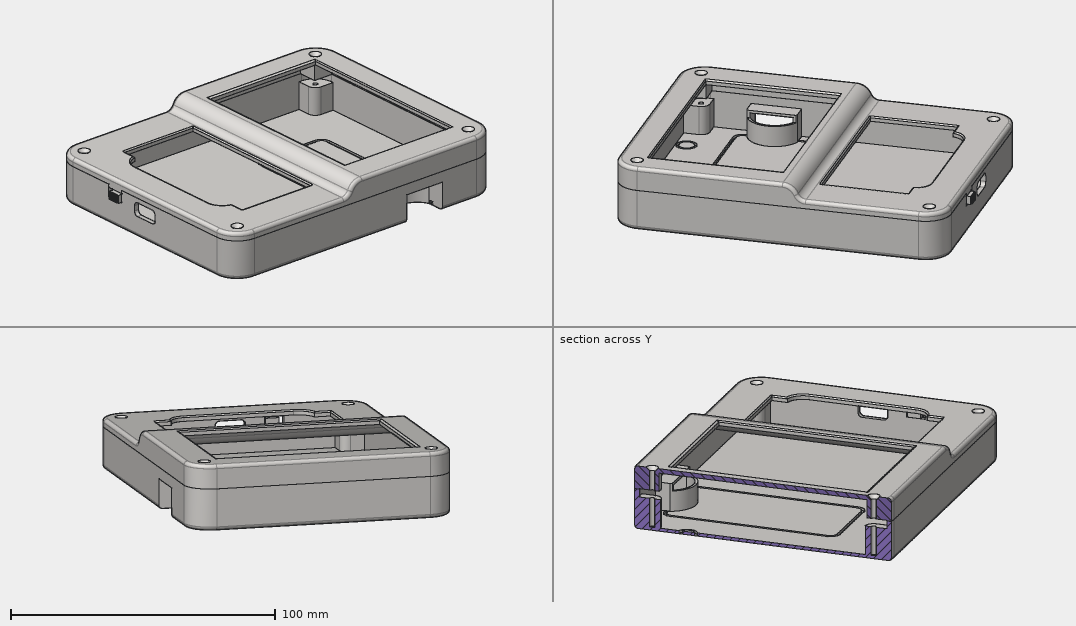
import cadquery as cq
import math

TOTAL_Y = 132.4
LENGTH_X = 104.0
LENGTH_Y = 130.6
HEIGHT = 25.4
LOW_HEIGHT = 19.5
SEAM_Z = 16.1
CORNER_RADIUS = 10.0
EDGE_RADIUS = 1.5
WALL = 2.0
FLOOR = 1.5
ROOF = 2.0

HALF_X = LENGTH_X / 2
HALF_Y = LENGTH_Y / 2
INNER_X = HALF_X - WALL
INNER_Y = HALF_Y - WALL
INNER_RADIUS = CORNER_RADIUS - WALL

STEP_START_Y = -1.7
CREST_RADIUS = 6.5
TROUGH_RADIUS = 3.5
STEP_DROP = HEIGHT - LOW_HEIGHT
STEP_ANGLE = math.acos(1 - STEP_DROP / (CREST_RADIUS + TROUGH_RADIUS))

SCREW_X = 44.6
SCREW_Y = 57.5
SCREW_DIAMETER = 1.9
SCREW_HEAD_DIAMETER = 4.8
SCREW_HEAD_ANGLE = 90
POST_REACH = 3.5
POST_RADIUS = 3.3
POST_TOP_Z = 13.0
BOSS_REACH = 2.8

SCREEN_LEFT = -41.2
SCREEN_RIGHT = 39.3
SCREEN_FRONT = 0.8
SCREEN_BACK = 54.3
SCREEN_SIDE_BEVEL = 0.9
SCREEN_END_BEVEL = 0.4
SCREEN_BEVEL_DEPTH = 0.5

KEYS_WIDTH = 69.9
KEYS_BACK = -11.5
KEYS_FRONT = -46.7
KEYS_TAB_WIDTH = 57.5
KEYS_TAB_FRONT = -52.4
KEYS_TAB_RADIUS = 7.1
KEYS_BEVEL = 0.5

GROOVE_DEPTH = 1.0
BATTERY_CENTER_X = 10.6
BATTERY_CENTER_Y = 27.3
BATTERY_LENGTH = 71.0
BATTERY_WIDTH = 34.1
BATTERY_RADIUS = 4.0
GROOVE_WIDTH = 1.2
RING_X = 30.0
RING_Y = 59.0
RING_OUTER_RADIUS = 4.0
RING_INNER_RADIUS = 3.0

LOOP_CENTER_X = 47.8
LOOP_CENTER_Y = 29.4
LOOP_RADIUS = 10.6
LOOP_HALF_WIDTH = 9.9
LOOP_WALL = 1.0
LOOP_TOP_Z = 9.7
BAR_FRONT_X = 43.3
BAR_TOP_Z = 12.7
BAR_THICKNESS = 1.0

PORT_X = 0.0
PORT_Z = 11.4
PORT_WIDTH = 11.9
PORT_HEIGHT = 5.7
PORT_RADIUS = 1.7
NOTCH_LEFT = -21.0
NOTCH_RIGHT = -13.5
NOTCH_BOTTOM_Z = 11.0
TAB_BOTTOM_Z = 14.8

KNOB_LEFT = -19.2
KNOB_RIGHT = -13.9
KNOB_TOP_Z = 14.3
KNOB_PROJECTION = TOTAL_Y - LENGTH_Y
RIBS = 4
RIB_PITCH = 0.8
RIB_THICKNESS = 0.5
RIB_DEPTH = 0.5
RIB_INSET = 0.3


def box(x0, x1, y0, y1, z0, z1):
    """Box between two opposite corners."""
    return cq.Workplane("XY").box(x1 - x0, y1 - y0, z1 - z0, centered=False).translate((x0, y0, z0))


def rounded_block(size_x, size_y, radius, z0, z1):
    """Upright block with rounded vertical edges, centered on the Z axis."""
    block = cq.Workplane("XY", origin=(0, 0, z0)).rect(size_x, size_y).extrude(z1 - z0)
    return block.edges("|Z").fillet(radius)


def inner_block(z0, z1):
    """Block that fills the space between the walls."""
    return rounded_block(2 * INNER_X, 2 * INNER_Y, INNER_RADIUS, z0, z1)


def stepped_slab(inset):
    """Full-width slab under the stepped top surface, with that surface lowered by inset."""
    crest = CREST_RADIUS - inset
    trough = TROUGH_RADIUS + inset
    top = HEIGHT - inset
    low = LOW_HEIGHT - inset
    crest_center_z = top - crest
    trough_y = STEP_START_Y - (crest + trough) * math.sin(STEP_ANGLE)
    trough_center_z = low + trough

    def crest_point(angle):
        return (STEP_START_Y - crest * math.sin(angle), crest_center_z + crest * math.cos(angle))

    def trough_point(angle):
        return (trough_y + trough * math.sin(angle), trough_center_z - trough * math.cos(angle))

    return (
        cq.Workplane("YZ", origin=(-HALF_X, 0, 0))
        .moveTo(HALF_Y, SEAM_Z)
        .lineTo(HALF_Y, top)
        .lineTo(*crest_point(0))
        .threePointArc(crest_point(STEP_ANGLE / 2), crest_point(STEP_ANGLE))
        .threePointArc(trough_point(STEP_ANGLE / 2), trough_point(0))
        .lineTo(-HALF_Y, low)
        .lineTo(-HALF_Y, SEAM_Z)
        .close()
        .extrude(LENGTH_X)
    )


def corner_posts(reach, radius, z0, z1):
    """Four posts that fill the inner corners; a radius above 0 rounds their free edge."""
    cavity = inner_block(z0, z1)
    size_x = INNER_X - SCREW_X + reach
    size_y = INNER_Y - SCREW_Y + reach
    posts = cq.Workplane("XY")
    for side_x in (-1, 1):
        for side_y in (-1, 1):
            center = (side_x * (INNER_X - size_x / 2), side_y * (INNER_Y - size_y / 2), z0)
            post = cq.Workplane("XY", origin=center).rect(size_x, size_y).extrude(z1 - z0)
            if radius > 0:
                inner_x = "<X" if side_x > 0 else ">X"
                inner_y = "<Y" if side_y > 0 else ">Y"
                post = post.edges(f"|Z and {inner_x} and {inner_y}").fillet(radius)
            posts = posts.add(post.intersect(cavity))
    return posts.combine()


def screw_row(side_y):
    """Screw positions of the rear row (side_y = 1) or the front row (side_y = -1)."""
    return [(-SCREW_X, side_y * SCREW_Y), (SCREW_X, side_y * SCREW_Y)]


def loop_prism(inset, front_x, end_x, z0, z1):
    """Prism from front_x to end_x with flat sides and a round nose toward -X, shrunk by inset."""
    radius = LOOP_RADIUS - inset
    half_width = LOOP_HALF_WIDTH - inset
    nose = cq.Workplane("XY", origin=(LOOP_CENTER_X, LOOP_CENTER_Y, z0)).circle(radius).extrude(z1 - z0)
    full = nose.union(box(LOOP_CENTER_X, end_x, LOOP_CENTER_Y - radius, LOOP_CENTER_Y + radius, z0, z1))
    return full.intersect(box(front_x, end_x, LOOP_CENTER_Y - half_width, LOOP_CENTER_Y + half_width, z0, z1))


def add_strap_loop(tray):
    """Strap loop: a well open below and through the side wall, bridged by a bar."""
    nose_x = LOOP_CENTER_X - LOOP_RADIUS
    well = loop_prism(LOOP_WALL, nose_x, HALF_X, 0, BAR_TOP_Z - BAR_THICKNESS)
    ring = loop_prism(0, nose_x, INNER_X, FLOOR, LOOP_TOP_Z)
    bar = loop_prism(0, BAR_FRONT_X, INNER_X, FLOOR, BAR_TOP_Z)
    return tray.union(ring).union(bar).cut(well)


def floor_grooves():
    """Shallow grooves in the floor: the battery outline and a ring."""
    z0 = FLOOR - GROOVE_DEPTH
    outer = rounded_block(BATTERY_LENGTH, BATTERY_WIDTH, BATTERY_RADIUS, z0, FLOOR)
    inner = rounded_block(
        BATTERY_LENGTH - 2 * GROOVE_WIDTH,
        BATTERY_WIDTH - 2 * GROOVE_WIDTH,
        BATTERY_RADIUS - GROOVE_WIDTH,
        z0,
        FLOOR,
    )
    outline = outer.cut(inner).translate((BATTERY_CENTER_X, BATTERY_CENTER_Y, 0))
    ring = (
        cq.Workplane("XY", origin=(RING_X, RING_Y, z0))
        .circle(RING_OUTER_RADIUS)
        .circle(RING_INNER_RADIUS)
        .extrude(GROOVE_DEPTH)
    )
    return outline.union(ring)


def make_tray():
    """Lower shell with its corner posts, strap loop and wall openings."""
    tray = rounded_block(LENGTH_X, LENGTH_Y, CORNER_RADIUS, 0, SEAM_Z).faces("<Z").edges().fillet(EDGE_RADIUS)
    tray = tray.cut(inner_block(FLOOR, SEAM_Z))
    tray = tray.cut(floor_grooves())
    tray = tray.union(corner_posts(POST_REACH, POST_RADIUS, FLOOR, POST_TOP_Z))
    pilot_holes = (
        cq.Workplane("XY", origin=(0, 0, FLOOR))
        .pushPoints(screw_row(1) + screw_row(-1))
        .circle(SCREW_DIAMETER / 2)
        .extrude(POST_TOP_Z - FLOOR)
    )
    tray = tray.cut(pilot_holes)
    tray = add_strap_loop(tray)
    port = (
        cq.Workplane("XY")
        .box(PORT_WIDTH, 2 * WALL, PORT_HEIGHT)
        .edges("|Y")
        .fillet(PORT_RADIUS)
        .translate((PORT_X, -HALF_Y, PORT_Z))
    )
    notch = box(NOTCH_LEFT, NOTCH_RIGHT, -HALF_Y, -INNER_Y, NOTCH_BOTTOM_Z, SEAM_Z)
    return tray.cut(port).cut(notch)


def screen_window():
    """Cutter for the screen window, with its bevel at the top."""
    width = SCREEN_RIGHT - SCREEN_LEFT
    depth = SCREEN_BACK - SCREEN_FRONT
    center = ((SCREEN_LEFT + SCREEN_RIGHT) / 2, (SCREEN_FRONT + SCREEN_BACK) / 2)
    inner_width = width - 2 * SCREEN_SIDE_BEVEL
    inner_depth = depth - 2 * SCREEN_END_BEVEL
    bevel = (
        cq.Workplane("XY", origin=(*center, HEIGHT - SCREEN_BEVEL_DEPTH))
        .rect(inner_width, inner_depth)
        .workplane(offset=SCREEN_BEVEL_DEPTH)
        .rect(width, depth)
        .loft(ruled=True)
    )
    opening_z = HEIGHT - 2 * ROOF
    opening = cq.Workplane("XY", origin=(*center, opening_z)).rect(inner_width, inner_depth).extrude(2 * ROOF)
    return opening.union(bevel)


def keys_outline(z):
    """Keyboard window below its bevel: a rectangle with a round-cornered tab in front."""
    back = KEYS_BACK - KEYS_BEVEL
    front = KEYS_FRONT + KEYS_BEVEL
    tab_front = KEYS_TAB_FRONT + KEYS_BEVEL
    half = KEYS_WIDTH / 2 - KEYS_BEVEL
    half_tab = KEYS_TAB_WIDTH / 2 - KEYS_BEVEL
    radius = KEYS_TAB_RADIUS - KEYS_BEVEL
    arc_x = half_tab - radius
    arc_y = tab_front + radius
    start_angle = math.asin((front - arc_y) / radius)
    middle_angle = (start_angle - math.pi / 2) / 2

    def arc_point(side, angle):
        return (side * (arc_x + radius * math.cos(angle)), arc_y + radius * math.sin(angle))

    return (
        cq.Workplane("XY", origin=(0, 0, z))
        .moveTo(-half, back)
        .lineTo(half, back)
        .lineTo(half, front)
        .lineTo(*arc_point(1, start_angle))
        .threePointArc(arc_point(1, middle_angle), (arc_x, tab_front))
        .lineTo(-arc_x, tab_front)
        .threePointArc(arc_point(-1, middle_angle), arc_point(-1, start_angle))
        .lineTo(-half, front)
        .close()
    )


def keys_window():
    """Cutter for the keyboard window, with its bevel at the top."""
    opening = keys_outline(LOW_HEIGHT - 2 * ROOF).extrude(2 * ROOF)
    bevel = keys_outline(LOW_HEIGHT - KEYS_BEVEL).extrude(KEYS_BEVEL, taper=-45)
    return opening.union(bevel)


def make_cover():
    """Stepped cover with two windows and countersunk screw holes."""
    outline = rounded_block(LENGTH_X, LENGTH_Y, CORNER_RADIUS, SEAM_Z, HEIGHT)
    cover = outline.intersect(stepped_slab(0))
    cover = cover.edges(">Z").edges(">Y").fillet(EDGE_RADIUS)
    cavity = inner_block(SEAM_Z, HEIGHT)
    cavity = cavity.intersect(stepped_slab(ROOF))
    cavity = cavity.cut(corner_posts(BOSS_REACH, 0, SEAM_Z, HEIGHT))
    cover = cover.cut(cavity)
    cover = cover.cut(screen_window())
    cover = cover.cut(keys_window())
    for side_y, top in ((1, HEIGHT), (-1, LOW_HEIGHT)):
        cover = (
            cover.copyWorkplane(cq.Workplane("XY", origin=(0, 0, top)))
            .pushPoints(screw_row(side_y))
            .cskHole(SCREW_DIAMETER, SCREW_HEAD_DIAMETER, SCREW_HEAD_ANGLE)
        )
    return cover.union(box(NOTCH_LEFT, NOTCH_RIGHT, -HALF_Y, -INNER_Y, TAB_BOTTOM_Z, SEAM_Z))


def make_knob():
    """Switch knob that slides in the notch, ribbed on its outer end."""
    tip_y = -HALF_Y - KNOB_PROJECTION
    rib_base_y = tip_y + RIB_DEPTH
    knob = box(KNOB_LEFT, KNOB_RIGHT, rib_base_y, -INNER_Y, NOTCH_BOTTOM_Z, KNOB_TOP_Z)
    middle_z = (NOTCH_BOTTOM_Z + KNOB_TOP_Z) / 2
    for index in range(RIBS):
        z0 = middle_z + (index - (RIBS - 1) / 2) * RIB_PITCH - RIB_THICKNESS / 2
        rib = box(KNOB_LEFT + RIB_INSET, KNOB_RIGHT - RIB_INSET, tip_y, rib_base_y, z0, z0 + RIB_THICKNESS)
        knob = knob.union(rib)
    return knob


tray = make_tray()
cover = make_cover()
knob = make_knob()

result = cq.Compound.makeCompound([tray.val(), cover.val(), knob.val()])